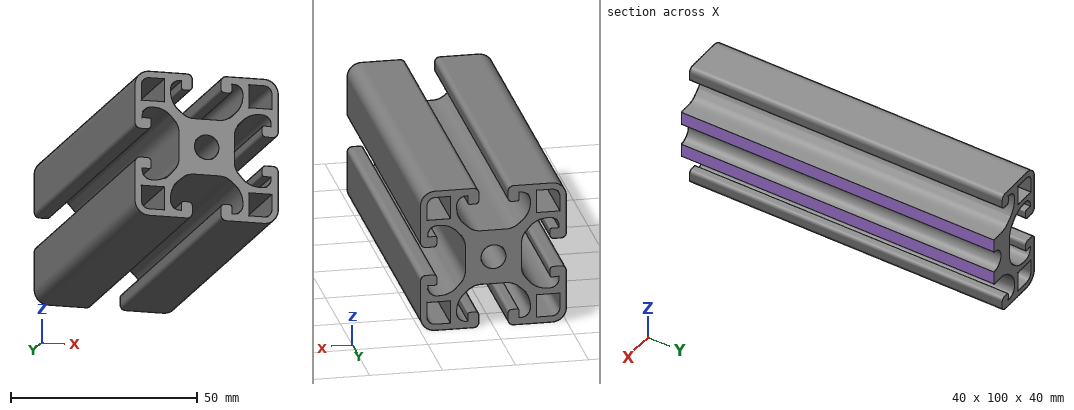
import cadquery as cq
import math

length = 100.0
width = 40.0
corner_radius = 4.0
bore_diameter = 6.8

wall = 1.8
chamber_size = 6.4
chamber_radius = corner_radius - wall

slot_opening = 8.0
slot_width = 20.2
slot_floor = 7.7
floor_flat = 7.0
web_thickness = 2.8
floor_arc_radius = 5.0
side_arc_radius = 6.5
roof_thickness = 2.0
roof_arc_radius = 2.6

lip_depth = 4.5
lip_width = 3.0
lip_mouth_radius = 1.5
lip_inner_radius = 1.0
lip_back_radius = 0.5

half_width = width / 2
diagonal = math.sqrt(0.5)


def prism(sketch):
    """Extrude an XZ profile symmetrically along Y."""
    return sketch.extrude(length / 2, both=True)


def make_slot():
    """Cutter for the slot on the +Z face."""
    side = slot_width / 2
    mouth = slot_opening / 2
    lip_back = mouth + lip_width
    lip_end = half_width - lip_depth
    roof = half_width - roof_thickness

    floor_edge = floor_flat / 2
    web_start = (
        floor_edge + floor_arc_radius * diagonal,
        slot_floor + floor_arc_radius * (1 - diagonal),
    )
    web_offset = web_thickness * diagonal
    side_arc_x = side - side_arc_radius
    web_end_x = side_arc_x + side_arc_radius * diagonal
    web_end = (web_end_x, web_end_x + web_offset)
    side_arc_z = web_end[1] + side_arc_radius * diagonal
    roof_arc_x = side - roof_arc_radius
    roof_arc_z = roof - roof_arc_radius

    mid_angle = math.radians(45) / 2
    half = (
        cq.Workplane("XZ")
        .moveTo(0, slot_floor)
        .lineTo(floor_edge, slot_floor)
        .threePointArc(
            (
                floor_edge + floor_arc_radius * math.sin(mid_angle),
                slot_floor + floor_arc_radius * (1 - math.cos(mid_angle)),
            ),
            web_start,
        )
        .lineTo(*web_end)
        .threePointArc(
            (
                side_arc_x + side_arc_radius * math.cos(mid_angle),
                side_arc_z - side_arc_radius * math.sin(mid_angle),
            ),
            (side, side_arc_z),
        )
        .lineTo(side, roof_arc_z)
        .threePointArc(
            (roof_arc_x + roof_arc_radius * diagonal, roof_arc_z + roof_arc_radius * diagonal),
            (roof_arc_x, roof),
        )
        .lineTo(lip_back, roof)
        .lineTo(lip_back, lip_end + lip_back_radius)
        .radiusArc((lip_back - lip_back_radius, lip_end), lip_back_radius)
        .lineTo(mouth + lip_inner_radius, lip_end)
        .radiusArc((mouth, lip_end + lip_inner_radius), lip_inner_radius)
        .lineTo(mouth, half_width - lip_mouth_radius)
        .radiusArc((mouth + lip_mouth_radius, half_width), lip_mouth_radius)
        .lineTo(0, half_width)
        .close()
    )
    half_slot = prism(half)
    return half_slot.union(half_slot.mirror("YZ"))


def make_chamber():
    """Cutter for the hollow in the +X +Z corner, rounded at its outer edge."""
    centre = half_width - wall - chamber_size / 2
    return prism(
        cq.Workplane("XZ").center(centre, centre).rect(chamber_size, chamber_size)
    ).edges("|Y and >X and >Z").fillet(chamber_radius)


body = prism(cq.Workplane("XZ").rect(width, width)).edges("|Y").fillet(corner_radius)
bore = prism(cq.Workplane("XZ").circle(bore_diameter / 2))
result = body.cut(bore)

slot = make_slot()
chamber = make_chamber()
quarter_turn = 90
for quarter in range(4):
    for cutter in (slot, chamber):
        result = result.cut(cutter.rotate((0, 0, 0), (0, 1, 0), quarter_turn * quarter))